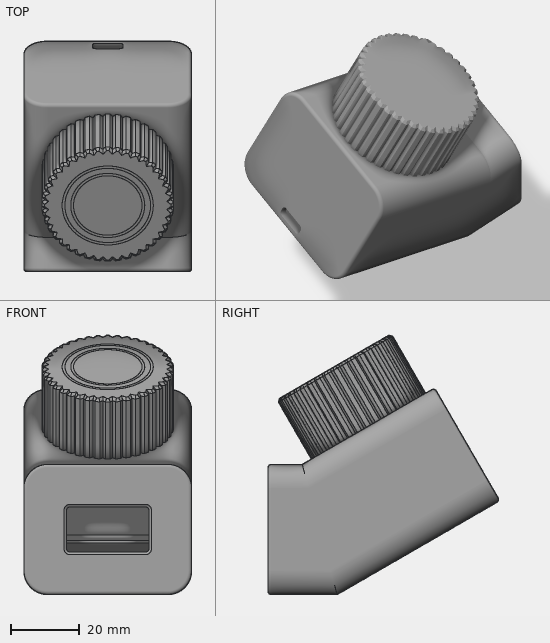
import cadquery as cq
import math

width = 49.0
height = 38.0
tilt = 30.0
top_front_length = 10.0
top_rear_length = 44.61
corner_radius = 7.0
rim_fillet = 1.0
wall = 2.0
end_wall = 1.2

window_width = 24.0
window_height = 13.2
window_center_z = height / 2
window_corner_radius = 1.0
bezel = 0.75
bezel_angle = 45.0

port_width = 9.0
port_height = 3.2
port_corner_radius = 1.1

knob_radius = 19.25
knob_height = 20.0
knob_chamfer = 0.8
flute_count = 40
flute_depth = 0.8

outer_ring = (26.6, 25.0)
inner_ring = (21.6, 20.0)
ring_depth = 0.8

bracket_width = width - 2 * corner_radius
bracket_height = 4.0
bracket_thickness = 1.6
bracket_foot_length = 8.9
bracket_offset = 19.1

along = cq.Vector(0, math.cos(math.radians(tilt)), math.sin(math.radians(tilt)))
upward = cq.Vector(0, -along.z, along.y)
miter = math.tan(math.radians(tilt / 2))


def bent_block(inset, front, end, radius):
    """Bent bar inset evenly from the housing's sides, with its own front and end insets."""
    top_z = height - inset
    top_bend = cq.Vector(0, top_front_length + inset * miter, top_z)
    bottom_bend = cq.Vector(0, top_front_length + (height - inset) * miter, inset)
    top_end = top_bend + along * (top_rear_length - inset * miter - end)
    bottom_end = top_end - upward * (height - 2 * inset)
    corners = [(front, inset), (front, top_z)]
    corners += [(point.y, point.z) for point in (top_bend, top_end, bottom_end, bottom_bend)]
    block_width = width - 2 * inset
    block = cq.Workplane("YZ").polyline(corners).close().extrude(block_width / 2, both=True)
    side_edges = block.edges("|Y").add(block.edges(cq.selectors.ParallelDirSelector(along)))
    return block.newObject(side_edges.vals()).fillet(radius)


def make_housing():
    """Hollow bent shell with a window in front and a cable port at the rear."""
    shell = bent_block(0, 0, 0, corner_radius)
    shell = shell.faces("<Y").edges().fillet(rim_fillet)
    shell = shell.faces(cq.selectors.DirectionMinMaxSelector(along)).edges().fillet(rim_fillet)
    shell = shell.cut(bent_block(wall, wall, end_wall, corner_radius - wall))
    return shell.cut(window_cutter()).cut(port_cutter())


def window_cutter():
    """Opening through the front wall with a flared rim at the front face."""
    front_plane = cq.Workplane("XZ", origin=(0, 0, window_center_z))
    opening = front_plane.rect(window_width, window_height).extrude(-2 * wall)
    opening = opening.edges("|Y").fillet(window_corner_radius)
    flare_outline = cq.Sketch().rect(window_width + 2 * bezel, window_height + 2 * bezel)
    flare_outline = flare_outline.vertices().fillet(window_corner_radius + bezel)
    flare = front_plane.placeSketch(flare_outline).extrude(-bezel, taper=bezel_angle)
    return opening.union(flare)


def port_cutter():
    """Slot through the rear end wall, level with the cavity floor."""
    bottom_bend = cq.Vector(0, top_front_length + height * miter, 0)
    rear_length = top_rear_length + height * miter
    center = bottom_bend + along * (rear_length - 2 * end_wall) + upward * (wall + port_height / 2)
    plane = cq.Plane(origin=center, xDir=(1, 0, 0), normal=along)
    cutter = cq.Workplane(plane).rect(port_width, port_height).extrude(4 * end_wall)
    return cutter.edges(cq.selectors.ParallelDirSelector(along)).fillet(port_corner_radius)


def place_on_tilted_top(workplane):
    """Move a solid built on XY to the middle of the tilted top face."""
    base = cq.Vector(0, top_front_length, height) + along * (top_rear_length / 2)
    plane = cq.Plane(origin=base, xDir=(1, 0, 0), normal=upward)
    return workplane.newObject([workplane.val().moved(cq.Location(plane))])


def make_ring(diameters):
    """Flat ring whose top is flush with the top of the knob."""
    outer, inner = diameters
    base = cq.Workplane("XY", origin=(0, 0, knob_height - ring_depth))
    return place_on_tilted_top(base.circle(outer / 2).circle(inner / 2).extrude(ring_depth))


def make_knob(rings):
    """Fluted knob with V-grooves, a chamfered top and seats for both rings."""
    pitch = 2 * math.pi / flute_count
    half_flute = math.asin(flute_depth / knob_radius)

    def rim(angle, radius=knob_radius):
        return radius * math.cos(angle), radius * math.sin(angle)

    outline = cq.Workplane("XY").moveTo(*rim(half_flute - pitch / 2))
    for index in range(flute_count):
        crest = index * pitch
        flute = crest + pitch / 2
        outline = outline.threePointArc(rim(crest), rim(flute - half_flute))
        outline = outline.lineTo(*rim(flute, knob_radius - flute_depth))
        if index < flute_count - 1:
            outline = outline.lineTo(*rim(flute + half_flute))
    knob = outline.close().extrude(knob_height)
    knob = knob.faces(">Z").chamfer(knob_chamfer)
    knob = place_on_tilted_top(knob)
    for ring in rings:
        knob = knob.cut(ring)
    return knob


def make_bracket():
    """L-shaped bracket: an upright plate with a foot toward the rear."""
    inner_bend = cq.Vector(0, top_front_length + (height - wall) * miter, wall)
    plane = cq.Plane(origin=inner_bend + along * bracket_offset, xDir=along, normal=(1, 0, 0))
    profile = [
        (0, 0),
        (bracket_foot_length, 0),
        (bracket_foot_length, bracket_thickness),
        (bracket_thickness, bracket_thickness),
        (bracket_thickness, bracket_height),
        (0, bracket_height),
    ]
    return cq.Workplane(plane).polyline(profile).close().extrude(bracket_width / 2, both=True)


housing = make_housing()
rings = [make_ring(outer_ring), make_ring(inner_ring)]
knob = make_knob(rings)
bracket = make_bracket()

bodies = [housing, knob, bracket, *rings]
result = cq.Compound.makeCompound([body.val() for body in bodies])